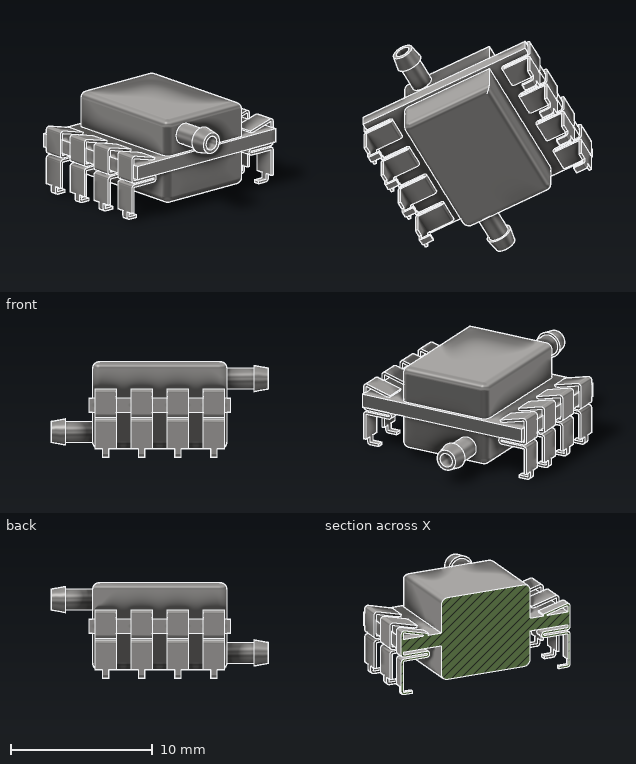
import cadquery as cq
import math


overall_length = 15.3
lead_span = 13.3
overall_height = 6.76

board_length = 10.0
board_width = 13.0
board_thickness = 1.0

housing_length = 9.49
housing_width = 7.0
housing_height = 6.17
housing_fillet = 0.5

port_diameter = 1.5
port_bore = 1.0
barb_diameter = 1.87
barb_length = 1.01
port_y = -1.9
port_height = 1.88
port_root = 0.3

lead_count = 4
lead_pitch = 2.54
lead_width = 1.51
pin_width = 0.46
lead_thickness = 0.2
bend_radius = 0.145
roof_angle = math.radians(15)
roof_length = 1.91
roof_top = 1.13
fold_top = -0.67
fold_bottom = -1.18
fold_tip_y = 4.38
shoulder_z = -housing_height / 2
foot_bottom = housing_height / 2 - overall_height
foot_end_y = 5.74


def make_housing():
    """Rounded block; the vertical edge at +X +Y stays sharp."""
    block = cq.Workplane("XY").box(housing_length, housing_width, housing_height)
    rounded = block.edges("|Z").edges("<X or <Y").fillet(housing_fillet)
    return rounded.faces("<Z or >Z").edges().fillet(housing_fillet)


def make_port(direction):
    """Barbed tube leaving the +X (direction 1) or -X (direction -1) wall."""
    wall_x = direction * housing_length / 2
    root_x = wall_x - direction * port_root
    tip_x = direction * overall_length / 2
    barb_x = tip_x - direction * barb_length
    stem_radius = port_diameter / 2
    outline = [
        (root_x, 0),
        (root_x, stem_radius),
        (barb_x, stem_radius),
        (barb_x, barb_diameter / 2),
        (tip_x, stem_radius),
        (tip_x, port_bore / 2),
        (wall_x, port_bore / 2),
        (wall_x, 0),
    ]
    port = cq.Workplane("XY").polyline(outline).close().revolve(360, (0, 0, 0), (1, 0, 0))
    return port.translate((0, port_y, direction * port_height))


def sweep_strip(path, start, heading, width):
    """Sweep a flat strip along a centre line in the YZ plane."""
    section_plane = cq.Plane(origin=(0, *start), xDir=(1, 0, 0), normal=(0, *heading))
    return cq.Workplane(section_plane).rect(width, lead_thickness).sweep(path)


def make_lead():
    """One lead on the +Y side, centred on X = 0, built from its centre line."""
    half = lead_thickness / 2
    wall_y = lead_span / 2 - half
    bend_y = wall_y - bend_radius
    roof_bend_z = roof_top - half - bend_radius
    upper_leg_z = fold_top - half
    lower_leg_z = fold_bottom + half
    fold_y = fold_tip_y + half + (upper_leg_z - lower_leg_z) / 2
    foot_z = foot_bottom + half

    roof_end = (
        bend_y - bend_radius * math.sin(roof_angle),
        roof_bend_z + bend_radius * math.cos(roof_angle),
    )
    roof_heading = (math.cos(roof_angle), math.sin(roof_angle))
    roof_tip = (
        roof_end[0] - roof_length * roof_heading[0],
        roof_end[1] - roof_length * roof_heading[1],
    )
    shoulder = (wall_y, shoulder_z)

    clip_path = (
        cq.Workplane("YZ")
        .moveTo(*roof_tip)
        .lineTo(*roof_end)
        .tangentArcPoint((wall_y, roof_bend_z), relative=False)
        .lineTo(wall_y, upper_leg_z + bend_radius)
        .tangentArcPoint((bend_y, upper_leg_z), relative=False)
        .lineTo(fold_y, upper_leg_z)
        .tangentArcPoint((fold_y, lower_leg_z), relative=False)
        .lineTo(bend_y, lower_leg_z)
        .tangentArcPoint((wall_y, lower_leg_z - bend_radius), relative=False)
        .lineTo(*shoulder)
    )
    pin_path = (
        cq.Workplane("YZ")
        .moveTo(*shoulder)
        .lineTo(wall_y, foot_z + bend_radius)
        .tangentArcPoint((bend_y, foot_z), relative=False)
        .lineTo(foot_end_y, foot_z)
    )
    clip = sweep_strip(clip_path, roof_tip, roof_heading, lead_width)
    pin = sweep_strip(pin_path, shoulder, (0, -1), pin_width)
    return clip.union(pin)


board = cq.Workplane("XY").box(board_length, board_width, board_thickness)
result = board.union(make_housing())

for side in (1, -1):
    result = result.union(make_port(side))

lead = make_lead()
first_lead_x = -lead_pitch * (lead_count - 1) / 2
for index in range(lead_count):
    placed_lead = lead.translate((first_lead_x + index * lead_pitch, 0, 0))
    result = result.union(placed_lead).union(placed_lead.mirror("XZ"))